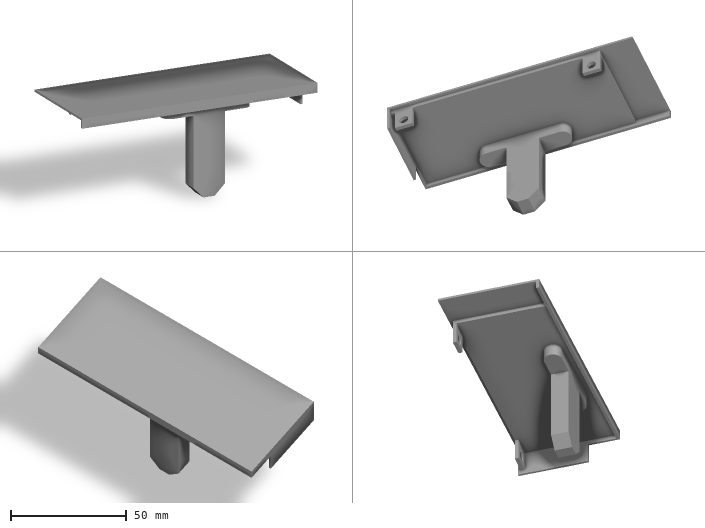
import cadquery as cq

width = 46.0
length = 113.5
height = 45.9

skin = 1.0
side_wall = 1.4
side_depth = 4.5
end_depth = 13.7
end_deep_width = 31.8

sheet = 1.7
bracket_inset = 1.7
bracket_start = 15.7
tab_width = 8.1
tab_depth = 12.7
tab_starts = (bracket_start, 102.5)
hole_diameter = 4.2
hole_depth = 9.0

latch_x = 37.17
latch_y = 63.7
latch_thickness = 8.0
latch_length = 42.2
latch_depth = 8.2
tongue_width = 15.1
tip_chamfer = 4.9

sheet_bottom = skin + sheet


def hanging_box(x0, x1, y0, y1, top_depth, bottom_depth):
    """Box between two depths below the top face."""
    size_z = bottom_depth - top_depth
    return cq.Workplane("XY").box(x1 - x0, y1 - y0, size_z, centered=False).translate((x0, y0, -bottom_depth))


def make_cover():
    end_inside = length - skin
    top = hanging_box(0, width, 0, length, 0, skin)
    side = hanging_box(width - side_wall, width, 0, length, 0, side_depth)
    end_shallow = hanging_box(0, width, end_inside, length, 0, side_depth)
    end_deep = hanging_box(0, end_deep_width, end_inside, length, 0, end_depth)
    return top.union(side).union(end_shallow).union(end_deep)


def make_tab(start):
    tab = hanging_box(bracket_inset, bracket_inset + sheet, start, start + tab_width, skin, tab_depth)
    hole = (
        cq.Workplane("YZ", origin=(bracket_inset, start + tab_width / 2, -hole_depth))
        .circle(hole_diameter / 2)
        .extrude(sheet)
    )
    return tab.cut(hole)


def make_bracket():
    bracket = hanging_box(bracket_inset, width - side_wall, bracket_start, length - skin, skin, sheet_bottom)
    for start in tab_starts:
        bracket = bracket.union(make_tab(start))
    return bracket


def make_latch():
    block = (
        cq.Workplane("XY", origin=(latch_x, latch_y, -latch_depth))
        .slot2D(latch_length, latch_thickness, 90)
        .extrude(latch_depth - sheet_bottom)
    )
    tongue = hanging_box(
        latch_x - latch_thickness / 2,
        latch_x + latch_thickness / 2,
        latch_y - tongue_width / 2,
        latch_y + tongue_width / 2,
        sheet_bottom,
        height,
    )
    tongue = tongue.faces("<Z").edges("|X").chamfer(tip_chamfer)
    return block.union(tongue)


result = make_cover().union(make_bracket()).union(make_latch())